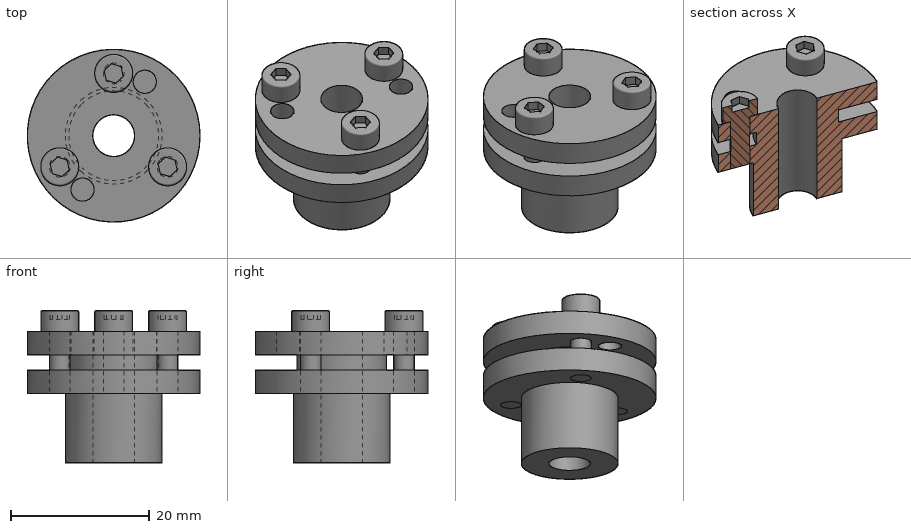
import cadquery as cq
import math

flange_diameter = 25.0
flange_thickness = 3.4
groove_width = 2.2
groove_floor_diameter = 13.0
sleeve_diameter = 14.0
sleeve_length = 10.0
bore_diameter = 6.0

pitch_radius = 9.0
screw_angles = [90, 210, 330]
plain_hole_diameter = 3.35
plain_hole_angles = [60, 240]

shank_diameter = 3.0
head_diameter = 5.5
head_height = 3.0
head_edge_radius = 0.25
socket_sides = 6
socket_across_flats = 2.5
socket_depth = 1.3
socket_angle = 43.0

lower_flange_bottom = sleeve_length
groove_bottom = lower_flange_bottom + flange_thickness
groove_top = groove_bottom + groove_width
upper_flange_top = groove_top + flange_thickness
head_top = upper_flange_top + head_height


def cylinder(diameter, bottom, top, center=(0, 0)):
    """Upright cylinder between two levels."""
    return (
        cq.Workplane("XY", origin=(center[0], center[1], bottom))
        .circle(diameter / 2)
        .extrude(top - bottom)
    )


def pitch_point(angle):
    """Point on the pitch circle at an angle in degrees from +X."""
    return (
        pitch_radius * math.cos(math.radians(angle)),
        pitch_radius * math.sin(math.radians(angle)),
    )


def make_hub():
    """Sleeve, two flanges and the neck between them, as one body."""
    hub = cylinder(sleeve_diameter, 0, lower_flange_bottom)
    hub = hub.union(cylinder(flange_diameter, lower_flange_bottom, groove_bottom))
    hub = hub.union(cylinder(groove_floor_diameter, groove_bottom, groove_top))
    hub = hub.union(cylinder(flange_diameter, groove_top, upper_flange_top))
    hub = hub.cut(cylinder(bore_diameter, 0, upper_flange_top))

    for angle in screw_angles:
        center = pitch_point(angle)
        hub = hub.cut(cylinder(shank_diameter, lower_flange_bottom, upper_flange_top, center))

    for angle in plain_hole_angles:
        center = pitch_point(angle)
        hub = hub.cut(cylinder(plain_hole_diameter, groove_top, upper_flange_top, center))
    return hub


def make_screw(center):
    """Cap screw seated on the upper flange and ending flush under the lower one."""
    head = cylinder(head_diameter, upper_flange_top, head_top, center)
    head = head.faces(">Z").edges().fillet(head_edge_radius)
    shank = cylinder(shank_diameter, lower_flange_bottom, upper_flange_top, center)

    socket_across_corners = socket_across_flats / math.cos(math.pi / socket_sides)
    socket = (
        cq.Workplane("XY", origin=(center[0], center[1], head_top - socket_depth))
        .transformed(rotate=(0, 0, socket_angle))
        .polygon(socket_sides, socket_across_corners)
        .extrude(socket_depth)
    )
    return head.union(shank).cut(socket)


hub = make_hub()
screws = [make_screw(pitch_point(angle)) for angle in screw_angles]

result = cq.Compound.makeCompound([hub.val(), *(screw.val() for screw in screws)])